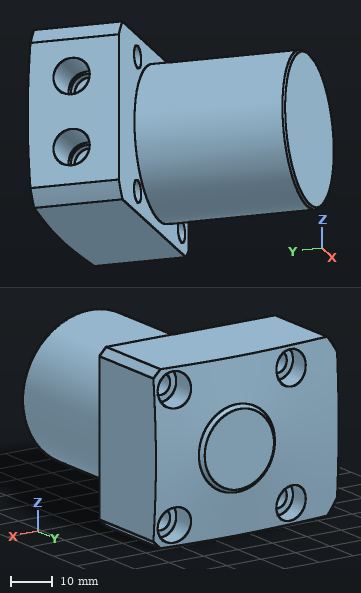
import cadquery as cq
import math

barrel_dia = 38.8
barrel_length = 38.0
barrel_chamfer = 0.5

flange_height = 45.0
half_height = flange_height / 2
flange_width = 54.0
right_x = half_height
left_x = right_x - flange_width
right_chamfer = 2.0
left_turned_radius = 36.45

total_length = 65.0
back_y = total_length - barrel_length
boss_top_radius = 10.1
boss_base_radius = 11.05
boss_height = 1.05
cone_angle = 7.8

bolt_offset = 16.95
bolt_hole_dia = 5.5
counterbore_dia = 9.1
counterbore_floor_y = 18.2

port_y = 11.95
port_offset = 9.0
port_dia = 9.15
port_depth = 11.7
port_drill_dia = 7.9
port_drill_depth = 14.3


def make_flange():
    """Rectangular block with turned left corners, chamfered right corners and a conical back."""
    block = (
        cq.Workplane("XY")
        .box(flange_width, back_y, flange_height, centered=(False, False, True))
        .translate((left_x, 0, 0))
        .edges("|Y and >X")
        .chamfer(right_chamfer)
    )
    cone_drop = (left_turned_radius - boss_base_radius) * math.tan(math.radians(cone_angle))
    cone_top_y = back_y - boss_height
    envelope = (
        cq.Workplane("XY")
        .moveTo(0, 0)
        .lineTo(left_turned_radius, 0)
        .lineTo(left_turned_radius, cone_top_y - cone_drop)
        .lineTo(boss_base_radius, cone_top_y)
        .lineTo(boss_top_radius, back_y)
        .lineTo(0, back_y)
        .close()
        .revolve(360, (0, 0, 0), (0, 1, 0))
    )
    return block.intersect(envelope)


def make_barrel():
    """Closed cylinder in front of the flange, chamfered at its free end."""
    return cq.Workplane("XZ").circle(barrel_dia / 2).extrude(barrel_length).faces("<Y").chamfer(barrel_chamfer)


def y_cylinder(x, z, diameter, start_y, end_y):
    """Cylinder parallel to Y."""
    return cq.Workplane(
        cq.Solid.makeCylinder(diameter / 2, end_y - start_y, cq.Vector(x, start_y, z), cq.Vector(0, 1, 0))
    )


def make_port(z):
    """Blind port entering from the left face, stepping down to a narrower drilled end."""
    inward = cq.Vector(1, 0, 0)
    mouth = cq.Vector(left_x, port_y, z)
    bore = cq.Solid.makeCylinder(port_dia / 2, port_depth, mouth, inward)
    drill = cq.Solid.makeCylinder(port_drill_dia / 2, port_drill_depth, mouth, inward)
    return cq.Workplane(bore).union(cq.Workplane(drill))


result = make_flange().union(make_barrel())

for x in (-bolt_offset, bolt_offset):
    for z in (-bolt_offset, bolt_offset):
        result = result.cut(y_cylinder(x, z, bolt_hole_dia, 0, back_y))
        result = result.cut(y_cylinder(x, z, counterbore_dia, counterbore_floor_y, back_y))

for z in (-port_offset, port_offset):
    result = result.cut(make_port(z))